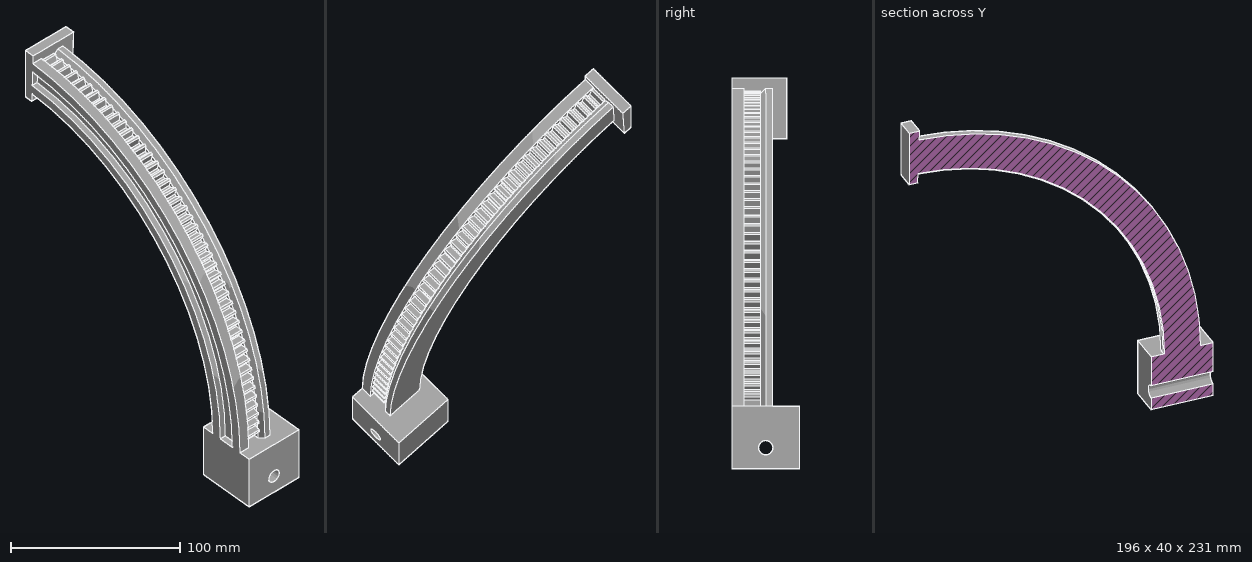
import cadquery as cq
import math

MID_RADIUS = 176.0
RAIL_HEIGHT = 24.0
INNER_RADIUS = MID_RADIUS - RAIL_HEIGHT / 2
OUTER_RADIUS = MID_RADIUS + RAIL_HEIGHT / 2
ARC_END = 88.0

FLANGE_END = 7.0
WEB_END = 17.0
OUTER_TAPER_END = 20.0
INNER_TAPER_END = 20.5
RAIL_WIDTH = 24.0
OUTER_TAPER_DEPTH = 3.0
INNER_GROOVE_DEPTH = 3.5

SLOT_HEIGHT = 10.5
SLOT_DEPTH = 4.0

TOOTH_COUNT = 45
TOOTH_PITCH = 1.95
TIP_RADIUS = OUTER_RADIUS - 1.5
TOOTH_HEIGHT = 4.5
ROOT_RADIUS = TIP_RADIUS - TOOTH_HEIGHT
TIP_WIDTH = 1.5
FLANK_ANGLE = 20.0
TOOTH_EMBED = 0.5

BLOCK_SIZE = 40.0
BLOCK_HEIGHT = 37.0
HOLE_DIAMETER = 8.3
HOLE_DROP = 24.5

PLATE_HEIGHT = 36.0
PLATE_WIDTH = 32.5
PLATE_TOP = 194.0


def rail():
    """Curved I-beam with a tooth groove on its outer side and a plain groove on its inner side."""
    taper_foot = OUTER_RADIUS - OUTER_TAPER_DEPTH
    inner_groove = INNER_RADIUS + INNER_GROOVE_DEPTH
    profile = cq.Workplane("XY").polyline([
        (INNER_RADIUS, 0),
        (OUTER_RADIUS, 0),
        (OUTER_RADIUS, FLANGE_END),
        (ROOT_RADIUS, FLANGE_END),
        (ROOT_RADIUS, WEB_END),
        (taper_foot, WEB_END),
        (OUTER_RADIUS, OUTER_TAPER_END),
        (OUTER_RADIUS, RAIL_WIDTH),
        (INNER_RADIUS, RAIL_WIDTH),
        (INNER_RADIUS, INNER_TAPER_END),
        (inner_groove, WEB_END),
        (inner_groove, FLANGE_END),
        (INNER_RADIUS, FLANGE_END),
    ])
    return profile.close().revolve(ARC_END, (0, 0, 0), (0, -1, 0))


def front_slot():
    """Shallow slot along the middle of the front face, for the whole arc."""
    profile = cq.Workplane("XY").center(MID_RADIUS, SLOT_DEPTH / 2).rect(SLOT_HEIGHT, SLOT_DEPTH)
    return profile.revolve(ARC_END, (-MID_RADIUS, 0, 0), (-MID_RADIUS, -1, 0))


def tooth(angle):
    """One trapezoidal tooth across the web, its centreline at the given angle."""
    half_tip = TIP_WIDTH / 2
    base_radius = ROOT_RADIUS - TOOTH_EMBED
    half_base = half_tip + (TIP_RADIUS - base_radius) * math.tan(math.radians(FLANK_ANGLE))
    outline = [
        (base_radius, -half_base),
        (TIP_RADIUS, -half_tip),
        (TIP_RADIUS, half_tip),
        (base_radius, half_base),
    ]
    blank = cq.Workplane("XZ").polyline(outline).close().extrude(-(WEB_END - FLANGE_END))
    return blank.translate((0, FLANGE_END, 0)).rotate((0, 0, 0), (0, -1, 0), angle)


def gear_teeth():
    """Row of evenly pitched teeth; the last one runs into the end plate."""
    teeth = cq.Workplane("XY")
    for index in range(1, TOOTH_COUNT + 1):
        teeth = teeth.add(tooth(index * TOOTH_PITCH))
    return teeth.combine()


def block():
    """Mounting block with a cross hole through it along X."""
    blank = cq.Workplane("XY").box(BLOCK_SIZE, BLOCK_SIZE, BLOCK_HEIGHT, centered=(True, False, False))
    blank = blank.translate((MID_RADIUS, 0, -BLOCK_HEIGHT))
    hole = cq.Workplane("YZ").center(BLOCK_SIZE / 2, -HOLE_DROP).circle(HOLE_DIAMETER / 2)
    return blank.cut(hole.extrude(MID_RADIUS + BLOCK_SIZE))


def end_plate():
    """Plate with an upright outer face at X = 0 and an inner face radial to the arc."""
    bottom = PLATE_TOP - PLATE_HEIGHT
    lean = 1 / math.tan(math.radians(ARC_END))
    outline = [
        (0, bottom),
        (bottom * lean, bottom),
        (PLATE_TOP * lean, PLATE_TOP),
        (0, PLATE_TOP),
    ]
    return cq.Workplane("XZ").polyline(outline).close().extrude(-PLATE_WIDTH)


result = rail().cut(front_slot()).union(gear_teeth()).union(block()).union(end_plate())